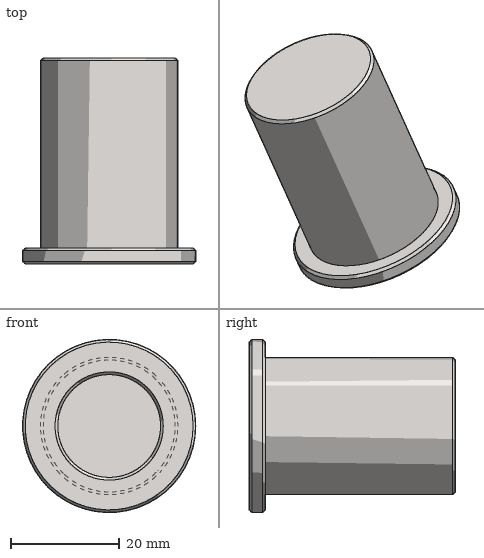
import cadquery as cq

flange_diameter = 32.0
flange_thickness = 3.0
body_diameter = 25.4
total_length = 38.1
edge_chamfer = 0.5

recess_mouth_diameter = 20.0
recess_depth = 0.5
recess_floor_diameter = recess_mouth_diameter - 2 * recess_depth


def cylinder_along_y(diameter, length):
    """Solid cylinder from the XZ plane towards +Y."""
    return cq.Workplane("XZ").circle(diameter / 2).extrude(-length)


def make_flange():
    flange = cylinder_along_y(flange_diameter, flange_thickness)
    return flange.edges().chamfer(edge_chamfer)


def make_body():
    body = cylinder_along_y(body_diameter, total_length)
    return body.faces(">Y").edges().chamfer(edge_chamfer)


def make_recess():
    """Truncated cone that narrows at 45 degrees down to the recess floor."""
    profile = [
        (0, 0),
        (recess_mouth_diameter / 2, 0),
        (recess_floor_diameter / 2, recess_depth),
        (0, recess_depth),
    ]
    return cq.Workplane("XY").polyline(profile).close().revolve(360, (0, 0, 0), (0, 1, 0))


result = make_flange().union(make_body()).cut(make_recess())